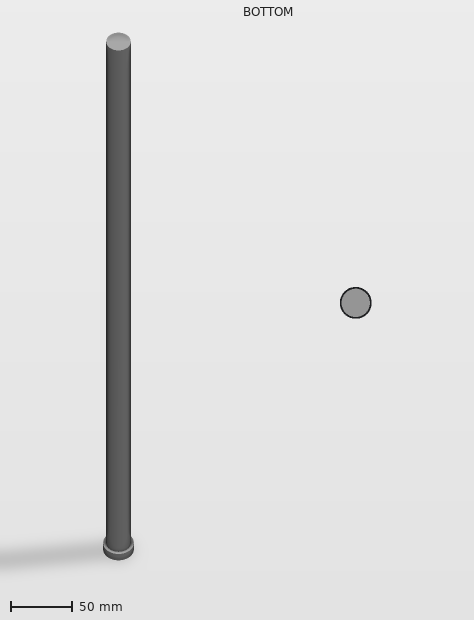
import cadquery as cq

overall_length = 600.0
shaft_diameter = 20.0
head_diameter = 25.0
head_height = 8.0
head_edge_chamfer = 0.5


def make_head():
    """Disc standing on Z = 0 with its lower rim broken."""
    disc = cq.Workplane("XY").circle(head_diameter / 2).extrude(head_height)
    return disc.faces("<Z").edges().chamfer(head_edge_chamfer)


def make_shaft():
    """Plain round shaft rising from the top of the head."""
    shaft_length = overall_length - head_height
    return cq.Workplane("XY").workplane(offset=head_height).circle(shaft_diameter / 2).extrude(shaft_length)


result = make_head().union(make_shaft())